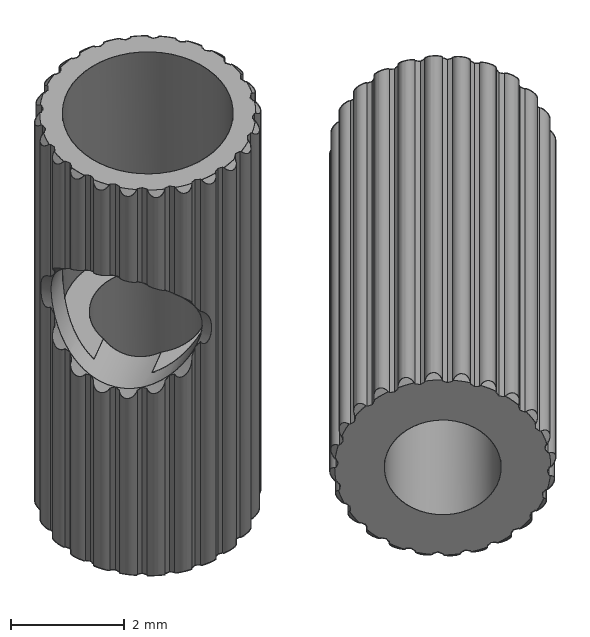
import cadquery as cq
import math

length = 9.7
crest_radius = 2.0
rib_count = 24
rib_radius = 0.165
land_width = 0.06
shoulder_radius = 1.87
valley_radius = 1.84
chamfer = 0.1
bore_radius = 1.5
bore_depth = 5.0
passage_radius = 1.03
window_radius = 1.4
window_height = 5.99
flare_width = 0.18
flare_height = 0.1
flare_points = 32

rib_pitch = 2 * math.pi / rib_count
rib_center = crest_radius - rib_radius
foot_offset = math.sqrt(rib_radius**2 - (shoulder_radius - rib_center) ** 2)
land_height = rib_center + math.sqrt(rib_radius**2 - (land_width / 2) ** 2)
flank_rise = rib_radius * math.sqrt(0.5)
rib_height = crest_radius - valley_radius
floor_height = length - bore_depth
clearance = 0.02


def ribbed_bar():
    """Bar with round ribs on sloping shoulders; the valleys between the ribs lie on the main axes."""

    def placed(rib_angle, height, offset):
        """Point at a height along the middle line of a rib and an offset to its side."""
        cosine = math.cos(rib_angle)
        sine = math.sin(rib_angle)
        return (height * cosine - offset * sine, height * sine + offset * cosine)

    outline = cq.Workplane("XY").moveTo(valley_radius, 0)
    for i in range(rib_count):
        angle = (i + 0.5) * rib_pitch
        outline = (
            outline.lineTo(*placed(angle, shoulder_radius, -foot_offset))
            .threePointArc(
                placed(angle, rib_center + flank_rise, -flank_rise),
                placed(angle, land_height, -land_width / 2),
            )
            .lineTo(*placed(angle, land_height, land_width / 2))
            .threePointArc(
                placed(angle, rib_center + flank_rise, flank_rise),
                placed(angle, shoulder_radius, foot_offset),
            )
            .lineTo(*placed(angle + rib_pitch / 2, valley_radius, 0))
        )
    return outline.close().extrude(length)


def bevelled_envelope():
    """Plain cylinder whose bevelled ends trim the rib ends."""
    return cq.Workplane("XY").circle(crest_radius).extrude(length).faces("<Z or >Z").chamfer(chamfer)


def flare_outline(rise):
    """Closed oval around the window, lying on the cylinder at a given rise above the flare root."""
    growth = rise / rib_height
    half_width = window_radius + growth * flare_width
    half_height = window_radius + growth * flare_height
    points = []
    for i in range(flare_points):
        angle = 2 * math.pi * i / flare_points
        x = half_width * math.cos(angle)
        y = -math.sqrt((valley_radius + rise) ** 2 - x**2)
        points.append(cq.Vector(x, y, window_height + half_height * math.sin(angle)))
    return cq.Wire.assembleEdges([cq.Edge.makeSpline(points, periodic=True)])


def window_flare():
    """Plug that bevels the rib ends all around the window."""
    flare_wall = cq.Face.makeRuledSurface(
        flare_outline(-2 * clearance), flare_outline(rib_height + 2 * clearance)
    )
    ring_part = (
        cq.Workplane("XY")
        .circle(crest_radius + clearance)
        .circle(valley_radius - clearance)
        .extrude(length)
        .split(cq.Workplane(flare_wall))
    )
    return ring_part.solids(cq.selectors.NearestToPointSelector((0, -crest_radius, window_height)))


def window():
    """Round hole from the axis out through the -Y wall."""
    return (
        cq.Workplane("XZ")
        .center(0, window_height)
        .circle(window_radius)
        .extrude(crest_radius + clearance)
    )


def stepped_bore():
    wide = cq.Workplane("XY").workplane(offset=floor_height).circle(bore_radius).extrude(bore_depth)
    narrow = cq.Workplane("XY").circle(passage_radius).extrude(length)
    return wide.union(narrow)


result = (
    ribbed_bar()
    .intersect(bevelled_envelope())
    .cut(window_flare())
    .cut(window())
    .cut(stepped_bore())
)